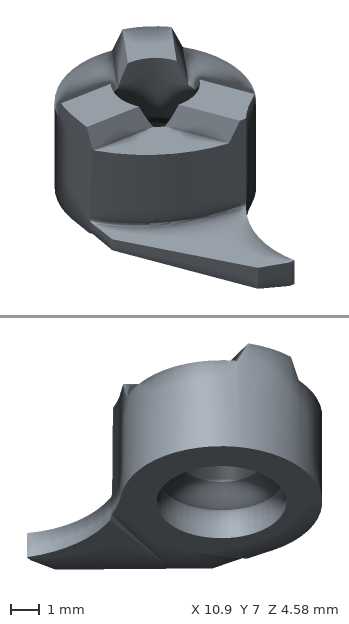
import cadquery as cq
import math

hub_radius = 3.5
hub_height = 4.37
bore_radius = 1.55
seat_radius = 2.26
seat_cone_top = 1.87
seat_cone_height = seat_radius - bore_radius

tooth_count = 3
first_tooth_angle = -90
tooth_height = 0.78
tooth_top_width = 1.7
tooth_base_width = 2.46

blade_reach = 7.4
corner_x = 2.41
heel_x, heel_y = 6.99, -0.53
tip_land = 0.23
hook_center_x, hook_center_y = 6.07, 4.65
hook_center_distance = math.hypot(hook_center_x, hook_center_y)
hook_radius = hook_center_distance - hub_radius
tip_split_x = 3.75

blade_mid_z = 0.29
blade_half_at_axis = 0.35
slope_x = 0.0165
slope_y = 0.045

wall_center_x, wall_center_y = -2.37, 1.45
wall_radius = 6.01
wall_fillet = 0.1

step_width = 0.1
step_depth = 0.15

oversize = 32.7


def outline(bottom, height):
    """Hub and blade outline, extruded upward from the given level."""
    touch = hub_radius / hook_center_distance
    tangent_point = (hook_center_x * touch, hook_center_y * touch)
    hook_low_point = (hook_center_x, hook_center_y - hook_radius)
    tip_drop = math.sqrt(hook_radius**2 - (blade_reach - hook_center_x) ** 2)
    tip_point = (blade_reach, hook_center_y - tip_drop)
    return (
        cq.Workplane("XY", origin=(0, 0, bottom))
        .moveTo(0, -hub_radius)
        .lineTo(corner_x, -hub_radius)
        .lineTo(heel_x, heel_y)
        .lineTo(blade_reach, tip_point[1] - tip_land)
        .lineTo(*tip_point)
        .threePointArc(hook_low_point, tangent_point)
        .threePointArc((-hub_radius, 0), (0, -hub_radius))
        .close()
        .extrude(height)
    )


def blade_face(side):
    """Plane of the upper (+1) or lower (-1) blade face, its normal pointing out of the blade."""
    half_thickness = blade_half_at_axis + slope_x * wall_center_x + slope_y * wall_center_y
    return cq.Plane(
        origin=(wall_center_x, wall_center_y, blade_mid_z + side * half_thickness),
        xDir=(1, 0, side * slope_x),
        normal=(-slope_x, -slope_y, side),
    )


def make_blade():
    """Wedge between the two sloping faces, right across the outline."""
    blade = outline(-hub_height, 2 * hub_height)
    for side in (1, -1):
        outside = cq.Workplane(blade_face(side)).rect(oversize, oversize).extrude(oversize)
        blade = blade.cut(outside)
    root_clearance = (
        cq.Workplane("XZ")
        .lineTo(tip_split_x - step_width, 0)
        .lineTo(tip_split_x, -step_depth)
        .lineTo(tip_split_x, -hub_height)
        .lineTo(-hub_radius, -hub_height)
        .lineTo(-hub_radius, 0)
        .close()
        .extrude(oversize / 2, both=True)
    )
    return blade.cut(root_clearance)


def make_wall():
    """Cylinder bounding the hub on the blade side, flaring out in a fillet at its foot."""
    wall = cq.Workplane(blade_face(1)).circle(wall_radius).extrude(hub_height, both=True)
    flare = cq.Workplane(blade_face(1)).circle(wall_radius + wall_fillet).extrude(wall_fillet)
    fillet_groove = cq.Solid.makeTorus(
        wall_radius + wall_fillet,
        wall_fillet,
        cq.Workplane(blade_face(1)).workplane(offset=wall_fillet).plane.origin,
        blade_face(1).zDir,
    )
    return wall.union(flare.cut(cq.Workplane(fillet_groove)))


def make_tooth(angle):
    """Trapezoidal bar reaching outward from the axis, standing on the tooth floor."""
    return (
        cq.Workplane("YZ", origin=(0, 0, hub_height - tooth_height))
        .moveTo(-tooth_base_width / 2, 0)
        .lineTo(tooth_base_width / 2, 0)
        .lineTo(tooth_top_width / 2, tooth_height)
        .lineTo(-tooth_top_width / 2, tooth_height)
        .close()
        .extrude(2 * hub_radius)
        .rotate((0, 0, 0), (0, 0, 1), angle)
    )


def make_bore():
    """Through bore with a conical seat and a wider recess opening downward."""
    seat_cone_bottom = seat_cone_top - seat_cone_height
    return (
        cq.Workplane("XZ")
        .lineTo(seat_radius, 0)
        .lineTo(seat_radius, seat_cone_bottom)
        .lineTo(bore_radius, seat_cone_top)
        .lineTo(bore_radius, hub_height)
        .lineTo(0, hub_height)
        .close()
        .revolve(360, (0, 0, 0), (0, 1, 0))
    )


blade = make_blade()
tip_side = cq.Workplane("XY").box(oversize, oversize, oversize).translate((tip_split_x + oversize / 2, 0, 0))

hub = outline(0, hub_height - tooth_height)
for index in range(tooth_count):
    tooth = make_tooth(first_tooth_angle + index * 360 / tooth_count)
    hub = hub.union(tooth.intersect(outline(0, hub_height)))
hub = hub.intersect(make_wall())

bore = make_bore()
blade_root = blade.cut(tip_side).cut(cq.Workplane("XY").circle(seat_radius).extrude(hub_height, both=True))
holder = hub.union(blade_root).cut(bore).cut(tip_side)
cutting_tip = blade.intersect(tip_side)

result = cq.Compound.makeCompound([holder.solids().val(), cutting_tip.solids().val()])